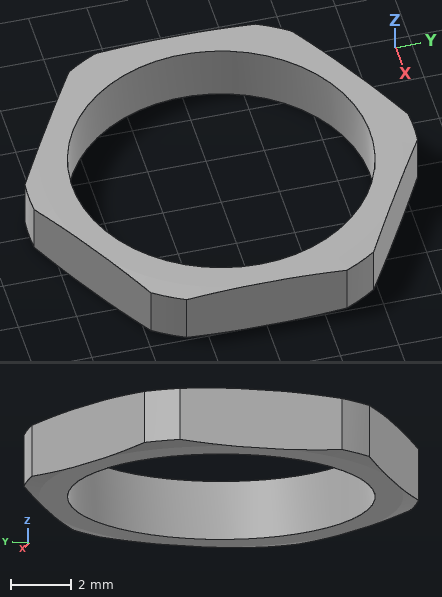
import cadquery as cq
import math

across_flats = 12.0
corner_diameter = 13.2
thickness = 2.0
bore_diameter = 10.2
face_diameter = 12.09
chamfer_height = 0.12


def hexagonal_prism():
    """Hexagon with two flats facing +X and -X and corners on the Y axis."""
    across_corners = across_flats / math.cos(math.pi / 6)
    return (
        cq.Workplane("XY")
        .polygon(6, across_corners)
        .extrude(thickness)
        .rotate((0, 0, 0), (0, 0, 1), 30)
    )


def turned_envelope():
    """Disc with shallow conical chamfers on both ends, which trims the corners."""
    corner_radius = corner_diameter / 2
    face_radius = face_diameter / 2
    half_profile = [
        (0, 0),
        (face_radius, 0),
        (corner_radius, chamfer_height),
        (corner_radius, thickness - chamfer_height),
        (face_radius, thickness),
        (0, thickness),
    ]
    return (
        cq.Workplane("XZ")
        .polyline(half_profile)
        .close()
        .revolve(360, (0, 0, 0), (0, 1, 0))
    )


def bore():
    return cq.Workplane("XY").circle(bore_diameter / 2).extrude(thickness)


result = hexagonal_prism().intersect(turned_envelope()).cut(bore())